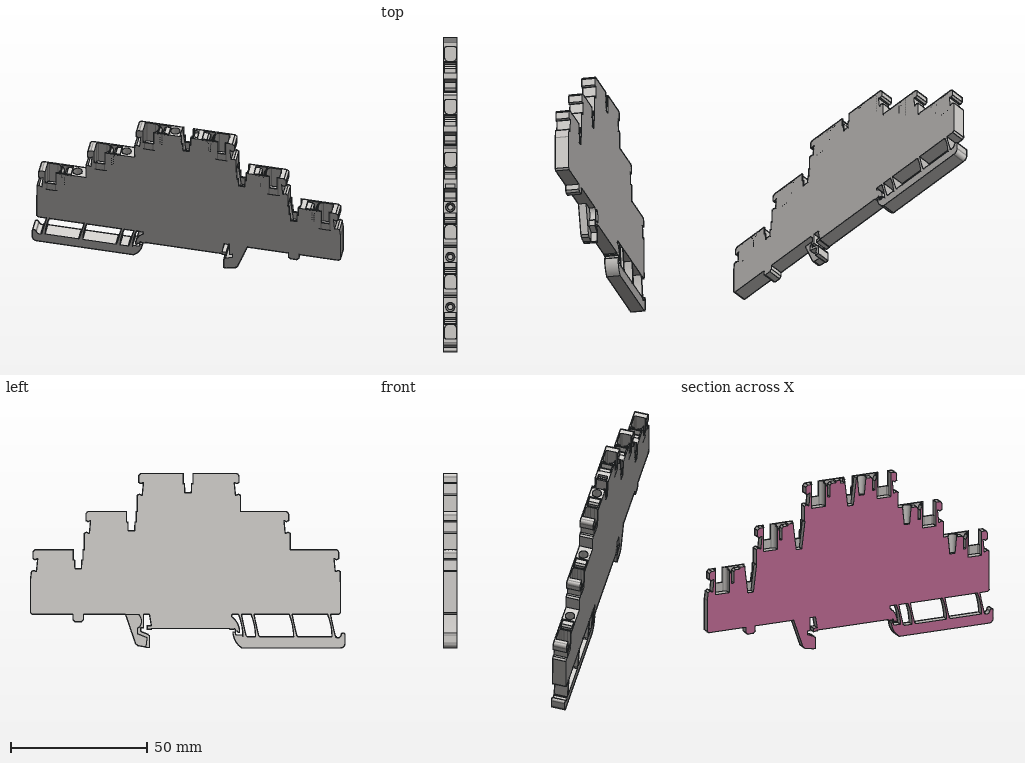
import cadquery as cq
thickness = 5.1
total_height = 64.1
half_length = 57.8
tier_step = 14.0
body_bottom = 12.4
centre_bottom = 7.2

tier_tops = [total_height - n * tier_step for n in range(3)]
plus_lips = [18.0, 37.5, 56.9]
minus_lips = [-18.8, -37.1, -55.5]
slot_centres = [-0.1, 20.7, 40.2]

lip_chamfer = 0.8
lip_round = 1.3
lip_height = 3.4
neck_depth = 1.7
neck_bottom = 7.6
catch_height = 0.5
shoulder_reach = 0.6

slot_top_width = 3.5
slot_low_width = 2.5
slot_floor_width = 2.3
slot_step_depth = 3.8
slot_depth = 7.0
well_top_width = 4.6
well_floor_width = 2.1
well_depth = 10.4
well_span = 4.0

opening_width = 4.2
entry_depth = 9.2
entry_side_wall = 0.2
entry_round = 1.5
entry_corner = 0.6
window_depth = 5.8
funnel_recess = 0.7
funnel_slope_depth = 2.3
funnel_floor_depth = 5.8
funnel_lead = 0.3
trough_start = 1.0
trough_end = 1.8
ramp = 0.7
test_hole_diameter = 3.4
test_hole_end_diameter = 2.0
test_hole_depth = 6.9
plus_entry_inset = 2.5
plus_entry_length = 5.4
minus_entry_inset = 2.5
minus_entry_length = 5.3
funnel_length = 4.3
plus_window_margin = 0.9
plus_window_length = 2.8
minus_window_length = 4.0
test_hole_offset = 6.4
marker_depth = 1.2
marker_span = 3.5
marker_start = 2.4
marker_end = 3.9

slab_end = 56.2
end_bend_height = 25.2
end_corner = 0.7
catch_bottom = 6.8
peg_start = 38.3
peg_end = 42.2
peg_bottom = 9.6
peg_corner = 0.8
rail_top = 4.2
rail_notch_floor = 4.9
rail_round = 1.8
web_width = 2.9
strut_starts = [-18.6, -23.2, -37.2, -51.3]


def extrude_outline(outline, x_start=-thickness / 2, width=thickness):
    """Turn a closed outline in the YZ plane into a plate along X."""
    return outline.close().extrude(width).translate((x_start, 0, 0))


def start(y, z):
    """Begin an outline in the YZ plane."""
    return cq.Workplane("YZ").moveTo(y, z)


def box(x_range, y_range, z_range):
    sizes = [abs(b - a) for a, b in (x_range, y_range, z_range)]
    middles = [(a + b) / 2 for a, b in (x_range, y_range, z_range)]
    return cq.Workplane("XY").box(*sizes).translate(tuple(middles))


def flank(lip, top, side):
    """Points down one tier flank: lip, label notch and shoulder. side is +1 for +Y, -1 for -Y."""
    neck = lip - side * neck_depth
    neck_top = top - lip_height
    neck_low = top - neck_bottom
    if side > 0:
        lip_corner = [(lip - lip_chamfer, top), (lip, top - lip_chamfer)]
    else:
        lip_corner = [(lip, top)]
    return lip_corner + [
        (lip, neck_top),
        (lip - side * neck_depth / 2, neck_top - catch_height),
        (neck, neck_top),
        (neck + side * catch_height, neck_low - catch_height),
        (lip - side * catch_height / 2, neck_low),
        (lip + side * shoulder_reach, neck_low - catch_height),
    ]


def slab():
    """Plate with three terminal tiers stepping down on both sides."""
    plus_side = []
    minus_side = []
    for level, top in enumerate(tier_tops):
        plus_side += flank(plus_lips[level], top, 1)
        minus_side += flank(minus_lips[level], top, -1)
        if level + 1 < len(tier_tops):
            next_top = tier_tops[level + 1]
            plus_side.append((plus_lips[level] + shoulder_reach, next_top))
            minus_side.append((minus_lips[level] - shoulder_reach, next_top))
    plus_side += [(half_length, end_bend_height), (half_length, body_bottom + end_corner),
                  (half_length - end_corner, body_bottom)]
    minus_side += [(-slab_end, body_bottom + end_corner),
                   (end_corner - slab_end, body_bottom)]
    outline = cq.Workplane("YZ").polyline(plus_side + minus_side[::-1])
    plate = extrude_outline(outline)
    for lip, top in zip(minus_lips, tier_tops):
        plate = plate.edges(cq.NearestToPointSelector((0, lip, top))).fillet(lip_round)
    return plate


def centre_block():
    """Block that rests on the mounting rail, with a catch at each end."""
    outline = (
        start(14.1, body_bottom)
        .lineTo(13.4, 8.2)
        .lineTo(14.9, 8.2)
        .lineTo(14.9, catch_bottom)
        .lineTo(13.3, catch_bottom)
        .lineTo(13.3, centre_bottom)
        .lineTo(-15.3, centre_bottom)
        .lineTo(-15.5, catch_bottom)
        .lineTo(-16.9, catch_bottom)
        .lineTo(-17.2, 7.2)
        .lineTo(-17.6, 6.2)
        .lineTo(-18.3, 6.2)
        .lineTo(-18.5, 5.7)
        .lineTo(-19.1, 5.7)
        .threePointArc((-18.4, 8.9), (-16.1, 11.6))
        .lineTo(-16.3, body_bottom)
    )
    return extrude_outline(outline)


def locating_peg():
    outline = (
        start(peg_end, body_bottom)
        .lineTo(peg_end, peg_bottom + peg_corner)
        .lineTo(peg_end - peg_corner, peg_bottom)
        .lineTo(peg_start + peg_corner, peg_bottom)
        .lineTo(peg_start, peg_bottom + peg_corner)
        .lineTo(peg_start, body_bottom)
    )
    return extrude_outline(outline)


def foot_rail():
    outline = (
        start(-16.5, 5.9)
        .threePointArc((-17.6, 2.4), (-19.9, 0))
        .lineTo(rail_round - half_length, 0)
        .threePointArc((-57.2, 0.5), (-half_length, rail_round))
        .lineTo(-half_length, 4.9)
        .threePointArc((-57.1, 5.5), (-56.3, 4.9))
        .threePointArc((-55.4, 3.8), (-54.2, rail_top))
        .lineTo(-20.2, rail_top)
        .lineTo(-20.1, rail_notch_floor)
        .lineTo(-17.7, rail_notch_floor)
        .lineTo(-17.5, 5.9)
    )
    return extrude_outline(outline)


def strut(y):
    """Slanted spring strut between slab and foot rail; y is its +Y edge at the slab."""
    outline = (
        start(y, body_bottom)
        .threePointArc((y - 1.2, 8.5), (y - 1.6, rail_top))
        .lineTo(y - 3.2, rail_top)
        .lineTo(y - 2.9, rail_top + 0.3)
        .threePointArc((y - 2.0, 8.3), (y - 1.2, body_bottom))
    )
    return extrude_outline(outline)


def clip():
    """Sprung clip: a full-width hooked rim backed by a thinner web."""
    rim = (
        start(18.0, body_bottom)
        .threePointArc((17.0, 9.9), (17.7, 7.7))
        .lineTo(18.4, 7.3)
        .lineTo(18.4, 5.2)
        .lineTo(14.9, 3.8)
        .lineTo(15.4, 0.1)
        .lineTo(14.0, 0.1)
        .lineTo(14.0, 4.4)
        .lineTo(14.7, 5.1)
        .lineTo(17.2, 6.1)
        .lineTo(17.2, 7.4)
        .lineTo(16.2, 7.4)
        .lineTo(16.2, body_bottom)
    )
    web = (
        start(22.9, body_bottom)
        .lineTo(19.2, 1.6)
        .lineTo(18.3, 0.8)
        .lineTo(14.7, 0.2)
        .lineTo(14.7, 4.4)
        .lineTo(17.8, 5.8)
        .lineTo(17.8, 7.6)
        .lineTo(16.8, 8.3)
        .lineTo(16.8, body_bottom)
    )
    return extrude_outline(rim).union(extrude_outline(web, thickness / 2 - web_width, web_width))


def tool_slot(centre, top):
    """Stepped slot through the full width, with a wider tapered well between its side skins."""
    step = top - slot_step_depth
    floor = top - slot_depth
    half_top, half_low, half_floor = slot_top_width / 2, slot_low_width / 2, slot_floor_width / 2
    outline = cq.Workplane("YZ").polyline([
        (centre + half_top, top),
        (centre + half_top, step),
        (centre + half_low, step),
        (centre + half_floor, floor),
        (centre - half_floor, floor),
        (centre - half_low, step),
        (centre - half_top, step),
        (centre - half_top, top),
    ])
    half_well, half_well_floor = well_top_width / 2, well_floor_width / 2
    well = cq.Workplane("YZ").polyline([
        (centre + half_well, top),
        (centre + half_well_floor, top - well_depth),
        (centre - half_well_floor, top - well_depth),
        (centre - half_well, top),
    ])
    return extrude_outline(outline).union(extrude_outline(well, -well_span / 2, well_span))


def wire_entry(outer, inner, top):
    """Wire opening; outer is its edge near the lip, inner the rounded edge near the funnel."""
    side = 1 if outer > inner else -1
    near_face = -opening_width / 2
    far_face = thickness / 2 - entry_side_wall
    pocket = box((near_face, far_face), (outer, inner), (top - entry_depth, top))
    inner_edges, outer_edges = ("<Y", ">Y") if side > 0 else (">Y", "<Y")
    pocket = pocket.faces(inner_edges).edges("|Z").fillet(entry_round)
    pocket = pocket.faces(outer_edges).edges("|Z").fillet(entry_corner)
    return pocket


def side_window(y_start, y_end, top):
    """Opening through the +X wall of a wire entry."""
    return box((0, thickness / 2), (y_start, y_end), (top - window_depth, top))


def funnel(outer, inner, top):
    """Ribbed release opening: a shallow recess with a narrow sloped trough near the wire entry."""
    side = 1 if outer > inner else -1
    recess = top - funnel_recess
    outline = cq.Workplane("YZ").polyline([
        (outer, top),
        (outer, recess),
        (outer - side * funnel_lead, recess),
        (outer - side * trough_start, top - funnel_slope_depth),
        (outer - side * trough_start, top - funnel_floor_depth),
        (outer - side * trough_end, top - funnel_floor_depth),
        (outer - side * trough_end, recess - ramp),
        (outer - side * (trough_end + ramp), recess),
        (inner, recess),
        (inner, top),
    ])
    return extrude_outline(outline, -opening_width / 2, opening_width)


def test_hole(y, top):
    """Round probe hole that narrows towards its bottom."""
    cone = cq.Solid.makeCone(
        test_hole_diameter / 2,
        test_hole_end_diameter / 2,
        test_hole_depth,
        pnt=cq.Vector(0, y, top),
        dir=cq.Vector(0, 0, -1),
    )
    return cq.Workplane(obj=cone)


result = slab().union(centre_block()).union(locating_peg()).union(foot_rail()).union(clip())
for strut_y in strut_starts:
    result = result.union(strut(strut_y))

for plus_lip, minus_lip, slot_y, top in zip(plus_lips, minus_lips, slot_centres, tier_tops):
    result = result.cut(tool_slot(slot_y, top))

    entry_outer = plus_lip - plus_entry_inset
    entry_inner = entry_outer - plus_entry_length
    window_start = entry_outer - plus_window_margin
    result = result.cut(wire_entry(entry_outer, entry_inner, top))
    result = result.cut(side_window(window_start, window_start - plus_window_length, top))
    result = result.cut(funnel(entry_inner, entry_inner - funnel_length, top))

    entry_outer = minus_lip + minus_entry_inset
    entry_inner = entry_outer + minus_entry_length
    result = result.cut(wire_entry(entry_outer, entry_inner, top))
    result = result.cut(side_window(entry_outer, entry_outer + minus_window_length, top))
    result = result.cut(funnel(entry_inner, entry_inner + funnel_length, top))
    result = result.cut(test_hole(entry_inner + test_hole_offset, top))

marker = box((-marker_span / 2, marker_span / 2), (marker_start, marker_end),
             (total_height - marker_depth, total_height))
result = result.cut(marker)